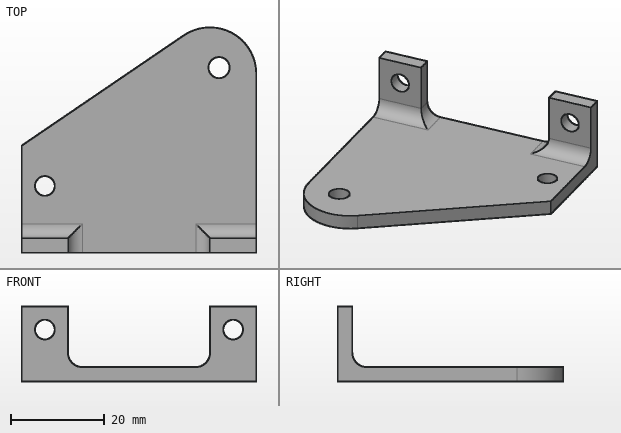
import cadquery as cq
import math

width = 50.4
depth = 48.45
height = 16.2
thickness = 3.2
lug_width = 10.0
fillet_radius = 3.0
corner_radius = 10.0
left_edge_length = 23.05

hole_diameter = 4.2
corner_hole_diameter = 4.5
hole_inset = lug_width / 2
lug_hole_height = height - hole_inset
plate_hole_y = 14.35
corner_hole_x = 42.4
corner_hole_y = 39.75

corner_x = width - corner_radius
corner_y = depth - corner_radius
reach_y = corner_y - left_edge_length
slope_angle = math.atan2(reach_y, corner_x) + math.asin(corner_radius / math.hypot(corner_x, reach_y))
tangent_x = corner_x - corner_radius * math.sin(slope_angle)
tangent_y = corner_y + corner_radius * math.cos(slope_angle)
middle_angle = (slope_angle + math.pi / 2) / 2
arc_middle = (
    corner_x + corner_radius * math.cos(middle_angle),
    corner_y + corner_radius * math.sin(middle_angle),
)


def plan_block():
    """Plate outline, extruded to the full height of the lugs."""
    return (
        cq.Workplane("XY")
        .lineTo(width, 0)
        .lineTo(width, corner_y)
        .threePointArc(arc_middle, (tangent_x, tangent_y))
        .lineTo(0, left_edge_length)
        .close()
        .extrude(height)
    )


def lug_gap():
    """Round-bottomed gap between the two lugs, through the full depth."""
    return (
        cq.Workplane("XY")
        .box(width - 2 * lug_width, depth, height, centered=False)
        .edges("|Y and <Z")
        .fillet(fillet_radius)
        .translate((lug_width, 0, thickness))
    )


def space_behind_lugs():
    """Space above the plate, rounded where it meets the back of the lugs."""
    return (
        cq.Workplane("XY")
        .box(width, depth, height, centered=False)
        .edges("|X and <Y and <Z")
        .fillet(fillet_radius)
        .translate((0, thickness, thickness))
    )


def plate_hole(x, y, diameter):
    return cq.Workplane("XY").center(x, y).circle(diameter / 2).extrude(thickness)


def lug_hole(x):
    return cq.Workplane("XZ").center(x, lug_hole_height).circle(hole_diameter / 2).extrude(-thickness)


result = plan_block().cut(lug_gap()).cut(space_behind_lugs())
result = result.cut(plate_hole(hole_inset, plate_hole_y, hole_diameter))
result = result.cut(plate_hole(corner_hole_x, corner_hole_y, corner_hole_diameter))
for lug_hole_x in (hole_inset, width - hole_inset):
    result = result.cut(lug_hole(lug_hole_x))